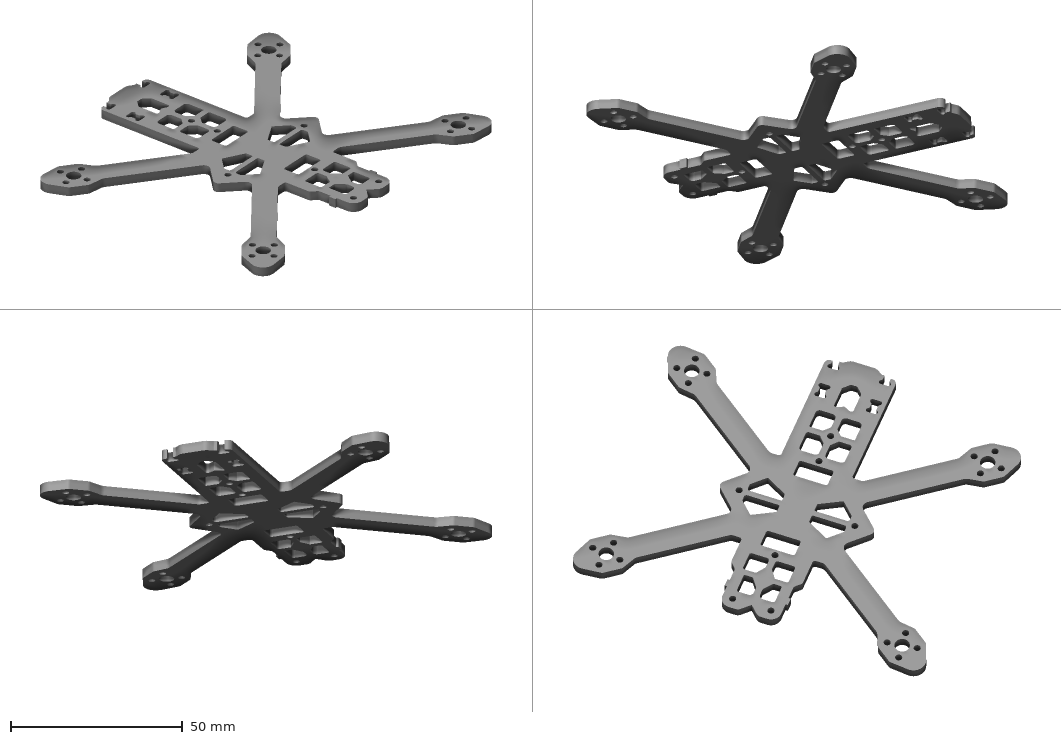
import cadquery as cq
import math

thickness = 3.0

motor_x = 35.0
motor_y = 46.1
arm_half_width = 7.6 / 2
cheek_half_width = 12.6 / 2
cheek_half_length = 3.1
tip_flank_angle = 31.5
root_flank_angle = 28.5
cheek_fillet = 1.6
tip_radius = 3.7
neck_fillet = 2.2
shaft_hole = 4.5
screw_hole = 2.1
motor_bolt_radius = 4.5

diamond_reach = 24.6
diamond_tip_fillet = 1.6
diamond_arm_fillet = 1.9

body_half_width = 22.2 / 2
crotch_x = 15.8
crotch_fillet = 0.8
arm_root_fillet = 2.2
tail_x = 54.9
tail_lip_x = 53.5
tail_prong_x = 53.0
nose_x = 40.2
nose_half_width = 18.3 / 2
nose_step_x = 24.8
nose_corner_radius = 3.2
nose_notch_x = 37.1
tab_start = 31.0
tab_end = 33.4
tab_half_width = 9.9

slot_y = 16.1 / 2
slot_waist_half_height = 2.1 / 2
slot_half_length = 2.4
slot_x = 42.0
tail_slot_x = 52.7
lobe_start = 0.8
lobe_flare = 0.7
lobe_half_height = 3.6 / 2

web_half_width = 1.0
window_outer_y = 7.1
bay_near = 10.6
bay_far = 16.2
bay_half_width = 5.4
bay_fillet = 0.7
stack_hole_offset = 36.0 / 2
tail_hole_x = 27.6


def rounded_wire(corners):
    """Closed outline through (x, y, radius) corners, each rounded to its radius."""
    rounds = []
    for i, (x, y, radius) in enumerate(corners):
        here = cq.Vector(x, y)
        before = (cq.Vector(*corners[i - 1][:2]) - here).normalized()
        after = (cq.Vector(*corners[(i + 1) % len(corners)][:2]) - here).normalized()
        if radius == 0:
            rounds.append((here, here, None))
            continue
        half_angle = before.getAngle(after) / 2
        setback = radius / math.tan(half_angle)
        bulge = radius / math.sin(half_angle) - radius
        middle = here + (before + after).normalized() * bulge
        rounds.append((here + before * setback, here + after * setback, middle))
    edges = []
    tolerance = 1.1e-06
    for i, (start, end, middle) in enumerate(rounds):
        previous_end = rounds[i - 1][1]
        if (start - previous_end).Length > tolerance:
            edges.append(cq.Edge.makeLine(previous_end, start))
        if middle is not None:
            edges.append(cq.Edge.makeThreePointArc(start, middle, end))
    return cq.Wire.assembleEdges(edges)


def prism(corners):
    """Plate-thick solid with the given rounded outline."""
    face = cq.Face.makeFromWires(rounded_wire(corners))
    return cq.Workplane(obj=cq.Solid.extrudeLinear(face, cq.Vector(0, 0, thickness)))


def flip_x(corners):
    return [(-x, y, radius) for x, y, radius in reversed(corners)]


def flip_y(corners):
    return [(x, -y, radius) for x, y, radius in reversed(corners)]


def drill(body, points, diameter):
    tools = cq.Workplane().pushPoints(points).circle(diameter / 2).extrude(thickness)
    return body.cut(tools)


arm_length = math.hypot(motor_x, motor_y)
arm_angle = math.atan2(motor_y, motor_x)


def on_arm(along, across, radius):
    """Corner given along the front left arm (from the motor axis) and across it (+ to the left)."""
    u = arm_length + along
    x = u * math.cos(arm_angle) - across * math.sin(arm_angle)
    y = u * math.sin(arm_angle) + across * math.cos(arm_angle)
    return (x, y, radius)


def arm_corners():
    """One arm from the diamond round the motor mount to the fuselage."""
    slope = math.tan(arm_angle)
    edge_rise = arm_half_width / math.cos(arm_angle)
    root_flank_slope = math.tan(math.radians(root_flank_angle))
    tip_flank_slope = math.tan(math.radians(tip_flank_angle))
    neck_u = -cheek_half_length - (cheek_half_width - arm_half_width) / root_flank_slope
    tip_u = cheek_half_length + cheek_half_width / tip_flank_slope
    root_x = (diamond_reach - edge_rise) / (1 + slope)
    return [
        (root_x, diamond_reach - root_x, diamond_arm_fillet),
        on_arm(neck_u, arm_half_width, neck_fillet),
        on_arm(-cheek_half_length, cheek_half_width, cheek_fillet),
        on_arm(cheek_half_length, cheek_half_width, cheek_fillet),
        on_arm(tip_u, 0, tip_radius),
        on_arm(cheek_half_length, -cheek_half_width, cheek_fillet),
        on_arm(-cheek_half_length, -cheek_half_width, cheek_fillet),
        on_arm(neck_u, -arm_half_width, neck_fillet),
        (crotch_x, crotch_x * slope - edge_rise, arm_root_fillet),
        (crotch_x, body_half_width, crotch_fillet),
    ]


def plate_outline():
    tail_side = [
        (-tail_x, 4.0, 2.7),
        (-tail_lip_x, 6.0, 0.5),
        (-tail_lip_x, slot_y, 0),
        (-tail_prong_x, slot_y, 0),
        (-tail_prong_x, body_half_width, 1.5),
    ]
    step = body_half_width - nose_half_width
    nose_side = [
        (nose_step_x, body_half_width, 1.1),
        (nose_step_x + step, nose_half_width, 1.1),
        (tab_start, nose_half_width, 0),
        (tab_start, tab_half_width, 0),
        (tab_end, tab_half_width, 0),
        (tab_end, nose_half_width, 0),
        (nose_x, nose_half_width, nose_corner_radius),
        (nose_x, nose_x - nose_notch_x, 2.2),
    ]
    arm = arm_corners()
    diamond_tip = [(0, diamond_reach, diamond_tip_fillet)]
    upper = tail_side + flip_x(arm) + diamond_tip + arm + nose_side
    return upper + [(nose_notch_x, 0, 0.2)] + flip_y(upper)


def dog_bone(x, y):
    """Slot with lobed ends and a narrower waist, centred on (x, y)."""
    front_upper = [
        (lobe_start, slot_waist_half_height, 0.2),
        (lobe_start + lobe_flare, lobe_half_height, 0.4),
        (slot_half_length, lobe_half_height, 0.7),
    ]
    front = front_upper + flip_y(front_upper)
    outline = front + [(-dx, -dy, radius) for dx, dy, radius in front]
    return prism([(x + dx, y + dy, radius) for dx, dy, radius in outline])


def cut_both_sides(body, corners):
    return body.cut(prism(corners)).cut(prism(flip_y(corners)))


result = prism(plate_outline())

for side_x in (-1, 1):
    for side_y in (-1, 1):
        center = (side_x * motor_x, side_y * motor_y)
        screws = []
        for turn in range(4):
            angle = arm_angle + math.radians(45 + 90 * turn)
            x = center[0] + side_x * motor_bolt_radius * math.cos(angle)
            y = center[1] + side_y * motor_bolt_radius * math.sin(angle)
            screws.append((x, y))
        result = drill(result, [center], shaft_hole)
        result = drill(result, screws, screw_hole)

stack_points = [
    (stack_hole_offset, 0),
    (-stack_hole_offset, 0),
    (0, stack_hole_offset),
    (0, -stack_hole_offset),
]
nose_hole_x = nose_x - nose_corner_radius
nose_hole_y = nose_half_width - nose_corner_radius
frame_points = [(-tail_hole_x, 0), (nose_hole_x, nose_hole_y), (nose_hole_x, -nose_hole_y)]
result = drill(result, stack_points + frame_points, screw_hole)

bay = [
    (bay_near, bay_half_width, bay_fillet),
    (bay_far, bay_half_width, bay_fillet),
    (bay_far, -bay_half_width, bay_fillet),
    (bay_near, -bay_half_width, bay_fillet),
]
result = result.cut(prism(bay)).cut(prism(flip_x(bay)))

kite = [
    (0.9, 15.9, 0.8),
    (3.1, 15.9, 0.5),
    (7.1, 11.8, 0.2),
    (3.4, 5.0, 0.4),
    (0.9, 5.0, 0.4),
]
result = cut_both_sides(result, kite)
result = cut_both_sides(result, flip_x(kite))

nose_rear_window = [
    (19.8, window_outer_y, 0.7),
    (26.0, window_outer_y, 0.7),
    (26.0, 3.0, 0.3),
    (23.1, web_half_width, 0.3),
    (19.8, web_half_width, 0.8),
]
nose_front_window = [
    (27.8, 5.9, 0.3),
    (34.1, 5.9, 0.7),
    (34.1, web_half_width, 1.3),
    (30.8, web_half_width, 0.3),
    (27.8, 3.2, 0.3),
]
tail_front_window = [
    (-26.6, window_outer_y, 0.8),
    (-19.7, window_outer_y, 1.2),
    (-19.7, web_half_width, 1.2),
    (-24.4, web_half_width, 0.3),
    (-26.6, 3.0, 0.5),
]
tail_rear_window = [
    (-35.2, window_outer_y, 1.2),
    (-28.6, window_outer_y, 0.2),
    (-28.6, 2.8, 0.3),
    (-30.6, web_half_width, 0.3),
    (-35.2, web_half_width, 1.2),
]
for window in (nose_rear_window, nose_front_window, tail_front_window, tail_rear_window):
    result = cut_both_sides(result, window)

tail_window_front = -37.9
tail_window_half_width = 6.0 / 2
tail_window_side = [
    (-46.9, 1.0, 0.4),
    (-44.8, tail_window_half_width, 0.3),
    (tail_window_front, tail_window_half_width, 0.5),
    (tail_window_front, 2.0, 0.3),
]
result = result.cut(prism(tail_window_side + [(-38.9, 0, 0.5)] + flip_y(tail_window_side)))

for side in (-1, 1):
    result = result.cut(dog_bone(-slot_x, side * slot_y))
    result = result.cut(dog_bone(-tail_slot_x, side * slot_y))